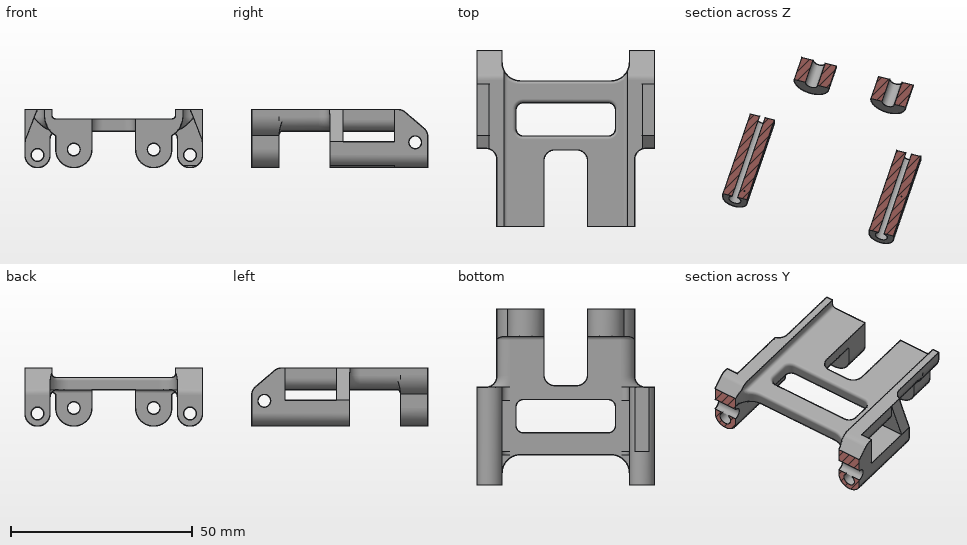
import cadquery as cq
import math

WIDTH = 49.0
LENGTH = 48.55
HEIGHT = 16.05
SIDE_X = -WIDTH / 2

PLATE_BOTTOM = 10.05
PLATE_TOP = 13.48
PLATE_BACK = 40.2
RAIL_OUTER_X = -19.0
RAIL_INNER_X = -17.0
RAIL_UNDER_RADIUS = 3.75
SMALL_RADIUS = 1.0
BACK_CORNER_RADIUS = 5.0
CORNER_RADIUS = 3.0

SLOT_HALF_WIDTH = 6.0
SLOT_END = 21.1

WINDOW_WIDTH = 27.35
WINDOW_FRONT = 25.0
WINDOW_BACK = 34.1
WINDOW_CORNER_RADIUS = 2.0

LEG_WIDTH = 7.0
LEG_INNER_X = SIDE_X + LEG_WIDTH
LEG_FRONT = 21.55
LEG_ROOT_RADIUS = 2.0
LEG_FLAT_HEIGHT = 0.6
HOLE_DIAMETER = 3.45

POCKET_FRONT = 25.2
POCKET_BACK = 39.3
POCKET_FLOOR = 7.2
POCKET_DEPTH = 3.45
POCKET_X = SIDE_X + POCKET_DEPTH

SLOPE_LENGTH = 7.15
SLOPE_DROP = 6.12
REAR_HOLE_INSET = LEG_WIDTH / 2

LUG_OUTER_X = -16.0
LUG_DEPTH = 7.6
LUG_RADIUS = (-SLOT_HALF_WIDTH - LUG_OUTER_X) / 2
LUG_CENTER_X = -SLOT_HALF_WIDTH - LUG_RADIUS
SHOULDER_RADIUS = 6.0
SHOULDER_TOP = 14.0
SHOULDER_MID_ANGLE = 30.0


def block(x0, x1, y0, y1, z0, z1):
    """Axis-aligned box between two opposite corners."""
    return cq.Workplane("XY").box(x1 - x0, y1 - y0, z1 - z0, centered=False).translate((x0, y0, z0))


def near(x, y, z):
    """Selector for the edge closest to a point."""
    return cq.selectors.NearestToPointSelector((x, y, z))


def extrude_along_y(profile, y0, y1):
    """Extrude a closed XZ profile from y0 to y1."""
    return profile.extrude(-(y1 - y0)).translate((0, y0, 0))


def make_slab():
    """Left half of the plan outline, from the plate underside to the rail top."""
    middle_z = (PLATE_BOTTOM + HEIGHT) / 2
    slab = (
        cq.Workplane("XY", origin=(0, 0, PLATE_BOTTOM))
        .moveTo(0, SLOT_END)
        .lineTo(-SLOT_HALF_WIDTH, SLOT_END)
        .lineTo(-SLOT_HALF_WIDTH, 0)
        .lineTo(RAIL_OUTER_X, 0)
        .lineTo(RAIL_OUTER_X, LEG_FRONT)
        .lineTo(SIDE_X, LEG_FRONT)
        .lineTo(SIDE_X, LENGTH)
        .lineTo(LEG_INNER_X, LENGTH)
        .lineTo(LEG_INNER_X, PLATE_BACK)
        .lineTo(0, PLATE_BACK)
        .close()
        .extrude(HEIGHT - PLATE_BOTTOM)
    )
    slab = slab.edges(near(-SLOT_HALF_WIDTH, SLOT_END, middle_z)).fillet(CORNER_RADIUS)
    slab = slab.edges(near(RAIL_OUTER_X, LEG_FRONT, middle_z)).fillet(CORNER_RADIUS)
    return slab.edges(near(LEG_INNER_X, PLATE_BACK, middle_z)).fillet(BACK_CORNER_RADIUS)


def make_frame():
    """Slab with its outer lower edge rounded in front of the leg and room left for the lug."""
    slab = make_slab()
    rounded = slab.edges(near(RAIL_OUTER_X, LEG_FRONT / 2, PLATE_BOTTOM)).fillet(RAIL_UNDER_RADIUS)
    rear = slab.intersect(block(SIDE_X, 0, LEG_FRONT, LENGTH, 0, HEIGHT))
    lug_room = block(RAIL_OUTER_X, -SLOT_HALF_WIDTH, 0, LUG_DEPTH, 0, SHOULDER_TOP)
    return rounded.union(rear).cut(lug_room)


def make_lug():
    """Front lug with a round lower end and a rounded shoulder under the rail."""
    shoulder_x = RAIL_OUTER_X + SHOULDER_RADIUS
    shoulder_bottom = SHOULDER_TOP - math.sqrt(SHOULDER_RADIUS**2 - (shoulder_x - LUG_OUTER_X) ** 2)
    diagonal = SHOULDER_RADIUS * math.cos(math.radians(SHOULDER_MID_ANGLE))
    drop = SHOULDER_RADIUS * math.sin(math.radians(SHOULDER_MID_ANGLE))
    profile = (
        cq.Workplane("XZ")
        .moveTo(-SLOT_HALF_WIDTH, SHOULDER_TOP)
        .lineTo(-SLOT_HALF_WIDTH, LUG_RADIUS)
        .threePointArc((LUG_CENTER_X, 0), (LUG_OUTER_X, LUG_RADIUS))
        .lineTo(LUG_OUTER_X, shoulder_bottom)
        .threePointArc((shoulder_x - diagonal, SHOULDER_TOP - drop), (RAIL_OUTER_X, SHOULDER_TOP))
        .close()
    )
    return extrude_along_y(profile, 0, LUG_DEPTH)


def make_leg():
    """Side leg with a round lower edge and a concave root under the plate."""
    radius = LEG_WIDTH / 2
    root_z = PLATE_BOTTOM - LEG_ROOT_RADIUS
    root_x = LEG_INNER_X + LEG_ROOT_RADIUS
    inset = LEG_ROOT_RADIUS * math.sqrt(0.5)
    bar = (
        cq.Workplane("XZ")
        .moveTo(SIDE_X, PLATE_BOTTOM)
        .lineTo(SIDE_X, radius)
        .threePointArc((SIDE_X + radius, 0), (LEG_INNER_X, radius))
        .lineTo(LEG_INNER_X, PLATE_BOTTOM)
        .close()
    )
    root = (
        cq.Workplane("XZ")
        .moveTo(LEG_INNER_X, PLATE_BOTTOM)
        .lineTo(LEG_INNER_X, root_z)
        .threePointArc((root_x - inset, root_z + inset), (root_x, PLATE_BOTTOM))
        .close()
    )
    return extrude_along_y(bar, LEG_FRONT, LENGTH).union(extrude_along_y(root, LEG_FRONT, PLATE_BACK))


def cut_recess(body):
    """Lower the middle of the plate between the rails and soften its edges."""
    body = body.cut(block(RAIL_INNER_X, 0, 0, LENGTH, PLATE_TOP, HEIGHT))
    body = body.edges(near(RAIL_INNER_X, PLATE_BACK / 2, PLATE_TOP)).fillet(SMALL_RADIUS)
    return body.edges(near(-SLOT_HALF_WIDTH, PLATE_BACK, PLATE_TOP)).fillet(SMALL_RADIUS)


def cut_pocket(body):
    """Open the leg from the side and under the plate, leaving a sloped front web."""
    opening = block(SIDE_X, POCKET_X, POCKET_FRONT, POCKET_BACK, POCKET_FLOOR, HEIGHT)
    passage = block(POCKET_X, 0, POCKET_FRONT, POCKET_BACK, POCKET_FLOOR, PLATE_BOTTOM)
    body = body.cut(opening.union(passage))
    body = body.edges(near(POCKET_X, (POCKET_FRONT + POCKET_BACK) / 2, PLATE_BOTTOM)).fillet(CORNER_RADIUS)
    web_slope = (
        cq.Workplane("XZ")
        .moveTo(SIDE_X, POCKET_FLOOR)
        .lineTo(POCKET_X, HEIGHT)
        .lineTo(SIDE_X, HEIGHT)
        .close()
    )
    return body.cut(extrude_along_y(web_slope, LEG_FRONT - CORNER_RADIUS, POCKET_FRONT))


def slope_rear(body):
    """Trim the upper rear end to a slope that blends into the top and the back."""
    slope_top_y = LENGTH - SLOPE_LENGTH
    slope_end_z = HEIGHT - SLOPE_DROP
    envelope = (
        cq.Workplane("YZ", origin=(SIDE_X, 0, 0))
        .polyline([(0, 0), (LENGTH, 0), (LENGTH, slope_end_z), (slope_top_y, HEIGHT), (0, HEIGHT)])
        .close()
        .extrude(-SIDE_X)
    )
    envelope = envelope.edges(near(SIDE_X / 2, slope_top_y, HEIGHT)).fillet(CORNER_RADIUS)
    envelope = envelope.edges(near(SIDE_X / 2, LENGTH, slope_end_z)).fillet(CORNER_RADIUS)
    return body.intersect(envelope)


def hole_along_y(x, z):
    """Cutter for a pin hole that runs the full length of the part."""
    return extrude_along_y(cq.Workplane("XZ").center(x, z).circle(HOLE_DIAMETER / 2), 0, LENGTH)


def cut_holes(body):
    """Pin holes through the lug and the leg, and a cross hole in the leg's rear end."""
    cross_hole = (
        cq.Workplane("YZ", origin=(SIDE_X, 0, 0))
        .center(LENGTH - REAR_HOLE_INSET, LEG_WIDTH)
        .circle(HOLE_DIAMETER / 2)
        .extrude(LEG_WIDTH)
    )
    body = body.cut(hole_along_y(LUG_CENTER_X, LUG_RADIUS))
    body = body.cut(hole_along_y(SIDE_X + LEG_WIDTH / 2, LEG_WIDTH / 2))
    return body.cut(cross_hole)


def cut_window(body):
    """Rounded window through the plate with a rounded upper rim."""
    middle_y = (WINDOW_FRONT + WINDOW_BACK) / 2
    window = (
        block(-WINDOW_WIDTH / 2, WINDOW_WIDTH / 2, WINDOW_FRONT, WINDOW_BACK, PLATE_BOTTOM, PLATE_TOP)
        .edges("|Z")
        .fillet(WINDOW_CORNER_RADIUS)
    )
    body = body.cut(window)
    return body.edges(near(-WINDOW_WIDTH / 2, middle_y, PLATE_TOP)).fillet(SMALL_RADIUS)


half = make_frame().union(make_lug())
half = half.edges(near(LUG_CENTER_X, LUG_DEPTH, PLATE_BOTTOM)).fillet(SMALL_RADIUS)
half = cut_recess(half)
half = half.union(make_leg())
half = cut_pocket(half)
half = slope_rear(half)
half = cut_holes(half)

result = half.union(half.mirror("YZ"))
result = cut_window(result)

result = result.cut(block(-SIDE_X - LEG_WIDTH, -SIDE_X, LEG_FRONT, POCKET_BACK, 0, LEG_FLAT_HEIGHT))